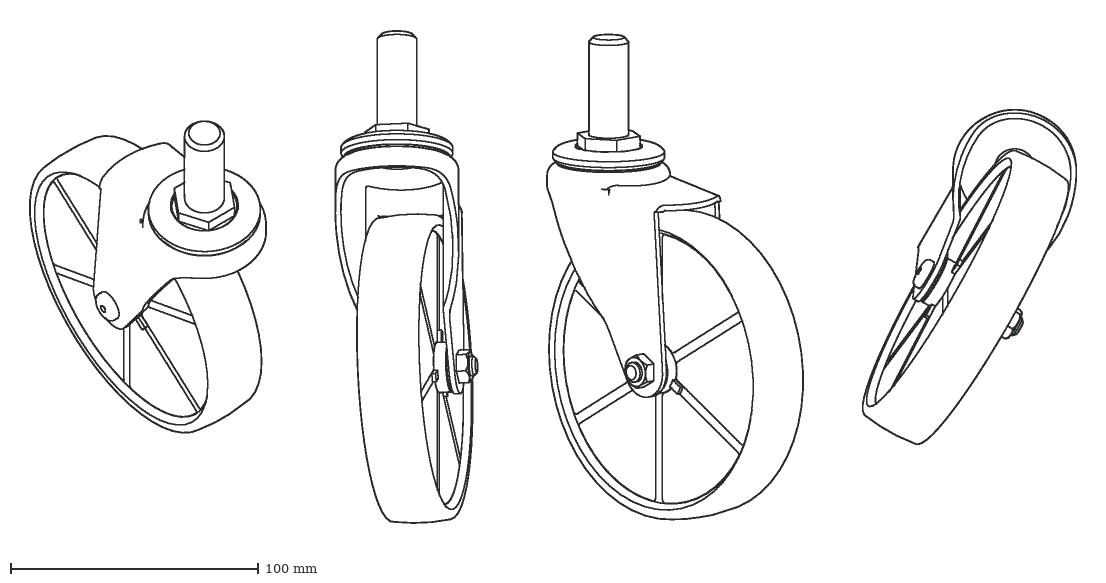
import cadquery as cq
import math


WHEEL_RADIUS = 62.5
WHEEL_WIDTH = 25.0
TREAD_EDGE_RADIUS = 61.6
TREAD_EDGE_FILLET = 1.2
RIM_INNER_RADIUS = 57.6
RIM_FOOT_RADIUS = 55.5
WEB_THICKNESS = 14.2
SPOKE_HEIGHT = 2.5
SPOKE_COUNT = 6
SPOKE_WIDTH = 4.0
POCKET_FLOOR_FILLET = 1.2
POCKET_CORNER = 1.3
POCKET_MARGIN = 0.2
HUB_RADIUS = 10.2
HUB_LENGTH = 30.0
HUB_CHAMFER = 0.4
PAD_OUTER_RADIUS = 15.2
PAD_HEIGHT = 1.5
PAD_WIDTH = 3.5

AXLE_RADIUS = 4.0
HEAD_RADIUS = 6.1
HEAD_HEIGHT = 3.5
HEAD_FILLET = 2.0
DIMPLE_RADIUS = 1.5
DIMPLE_DEPTH = 1.2
NUT_ACROSS_FLATS = 12.0
NUT_HEIGHT = 4.8
NUT_CHAMFER = 1.0
AXLE_END = 25.3
AXLE_TIP_CHAMFER = 1.2

SHEET = 2.3
FORK_HALF_WIDTH = 18.2
FORK_END_RADIUS = 11.0
FRONT_EDGE_LEAN = 4.3
BACK_EDGE_SLOPE = 61
BACK_ARC_RADIUS = 13.5
ROOF_SLOPE = 9
ROOF_FRONT_X = -12.3
ROOF_FRONT_Z = 68.2
ROOF_FRONT_ARC = 34.5
ROOF_FILLET = 3.6
ROOF_BACK_X = 32.6

SWIVEL_X = 39.07
SKIRT_RADIUS = 25.0
SKIRT_BOTTOM = 68.5
SKIRT_TOP = 77.8
SHOULDER_FILLET = 5.0
SKIRT_BLEND = 4.8

CAP_TOP = 84.9
CAP_RADIUS = 22.7
CAP_NECK_RADIUS = 21.0
CAP_BOTTOM = 78.5
CAP_LIP_RADIUS = 21.5
CAP_LOWER_EDGE = 80.0
CAP_UPPER_EDGE = 82.46
CAP_FLAT_RADIUS = 18.2
CAP_HOLE_RADIUS = 13.6

STUD_RADIUS = 8.0
STUD_TOP = 192 - WHEEL_RADIUS
STUD_CHAMFER_HEIGHT = 2.0
STUD_CHAMFER_WIDTH = 1.7
STUD_HEX_FLATS = 22.8
STUD_HEX_TOP = 89.5
COLLAR_RADIUS = 13.15
COLLAR_TOP = 84.3


def hex_prism(plane, across_flats, height):
    """Hexagonal prism with two corners on the vertical axis of the plane."""
    corner_circle = across_flats / math.cos(math.radians(30))
    return cq.Workplane(plane).transformed(rotate=(0, 0, 90)).polygon(6, corner_circle).extrude(height)


def turned_on_y(profile):
    """Revolve an XY profile about the Y axis."""
    return profile.close().revolve(360, (0, 0, 0), (0, 1, 0))


def turned_on_swivel(profile):
    """Revolve a (radius, height) profile about Z and move it to the swivel axis."""
    return profile.close().revolve(360, (0, 0, 0), (0, 1, 0)).translate((SWIVEL_X, 0, 0))


def spoke_pocket():
    """One sunk panel between two spokes, on the +Y side of the wheel."""
    half_pitch = math.radians(180 / SPOKE_COUNT)
    half_spoke = SPOKE_WIDTH / 2
    inner_radius = HUB_RADIUS + POCKET_MARGIN
    outer_radius = RIM_FOOT_RADIUS - POCKET_MARGIN

    def corner(radius, side):
        swing = half_pitch - math.asin(half_spoke / radius)
        return (radius * math.cos(swing), side * radius * math.sin(swing))

    face = cq.Plane(origin=(0, WEB_THICKNESS / 2 + SPOKE_HEIGHT, 0), xDir=(1, 0, 0), normal=(0, -1, 0))
    outline = (
        cq.Workplane(face)
        .moveTo(*corner(inner_radius, -1))
        .lineTo(*corner(outer_radius, -1))
        .threePointArc((outer_radius, 0), corner(outer_radius, 1))
        .lineTo(*corner(inner_radius, 1))
        .threePointArc((inner_radius, 0), corner(inner_radius, -1))
        .close()
    )
    pocket = outline.extrude(SPOKE_HEIGHT).edges("|Y").fillet(POCKET_CORNER)
    return pocket.faces("<Y").edges().fillet(POCKET_FLOOR_FILLET)


def make_wheel():
    half_width = WHEEL_WIDTH / 2
    spoke_level = WEB_THICKNESS / 2 + SPOKE_HEIGHT
    half_hub = HUB_LENGTH / 2
    half_tread = half_width - TREAD_EDGE_FILLET
    side_radius = TREAD_EDGE_RADIUS - TREAD_EDGE_FILLET
    fillet_reach = TREAD_EDGE_FILLET * math.sin(math.radians(45))
    fillet_middle = (side_radius + fillet_reach, half_tread + fillet_reach)
    wheel = turned_on_y(
        cq.Workplane("XY")
        .moveTo(AXLE_RADIUS, -half_hub)
        .lineTo(HUB_RADIUS - HUB_CHAMFER, -half_hub)
        .lineTo(HUB_RADIUS, -half_hub + HUB_CHAMFER)
        .lineTo(HUB_RADIUS, -spoke_level)
        .lineTo(RIM_FOOT_RADIUS, -spoke_level)
        .lineTo(RIM_INNER_RADIUS, -half_width)
        .lineTo(side_radius, -half_width)
        .threePointArc((fillet_middle[0], -fillet_middle[1]), (TREAD_EDGE_RADIUS, -half_tread))
        .threePointArc((WHEEL_RADIUS, 0), (TREAD_EDGE_RADIUS, half_tread))
        .threePointArc(fillet_middle, (side_radius, half_width))
        .lineTo(RIM_INNER_RADIUS, half_width)
        .lineTo(RIM_FOOT_RADIUS, spoke_level)
        .lineTo(HUB_RADIUS, spoke_level)
        .lineTo(HUB_RADIUS, half_hub - HUB_CHAMFER)
        .lineTo(HUB_RADIUS - HUB_CHAMFER, half_hub)
        .lineTo(AXLE_RADIUS, half_hub)
    )

    pocket = spoke_pocket()
    for index in range(SPOKE_COUNT):
        turned = pocket.rotate((0, 0, 0), (0, 1, 0), index * 360 / SPOKE_COUNT)
        wheel = wheel.cut(turned).cut(turned.mirror("XZ"))

    pad_length = PAD_OUTER_RADIUS - AXLE_RADIUS - 2
    pad_depth = 2 * (spoke_level + PAD_HEIGHT)
    pad = cq.Workplane("XY").box(PAD_WIDTH, pad_depth, pad_length, centered=(True, True, False))
    pad = pad.translate((0, 0, AXLE_RADIUS + 2))
    for index in range(SPOKE_COUNT // 2):
        wheel = wheel.union(pad.rotate((0, 0, 0), (0, 1, 0), index * 720 / SPOKE_COUNT))
    return wheel


def make_axle():
    """Bolt with a domed head at -Y and its hexagon nut at +Y."""
    head_top = -FORK_HALF_WIDTH - HEAD_HEIGHT
    fillet_reach = HEAD_FILLET * math.sin(math.radians(45))
    bolt = turned_on_y(
        cq.Workplane("XY")
        .moveTo(0, head_top + DIMPLE_DEPTH)
        .lineTo(DIMPLE_RADIUS, head_top)
        .lineTo(HEAD_RADIUS - HEAD_FILLET, head_top)
        .threePointArc(
            (HEAD_RADIUS - HEAD_FILLET + fillet_reach, head_top + HEAD_FILLET - fillet_reach),
            (HEAD_RADIUS, head_top + HEAD_FILLET),
        )
        .lineTo(HEAD_RADIUS, -FORK_HALF_WIDTH)
        .lineTo(AXLE_RADIUS, -FORK_HALF_WIDTH)
        .lineTo(AXLE_RADIUS, AXLE_END - AXLE_TIP_CHAMFER)
        .lineTo(AXLE_RADIUS - AXLE_TIP_CHAMFER, AXLE_END)
        .lineTo(0, AXLE_END)
    )
    nut_plane = cq.Plane(origin=(0, FORK_HALF_WIDTH, 0), xDir=(-1, 0, 0), normal=(0, 1, 0))
    nut = hex_prism(nut_plane, NUT_ACROSS_FLATS, NUT_HEIGHT)
    corner_radius = NUT_ACROSS_FLATS / 2 / math.cos(math.radians(30))
    turned_nut = cq.Workplane(nut_plane).circle(corner_radius).extrude(NUT_HEIGHT)
    nut = nut.intersect(turned_nut.faces(">Y").chamfer(NUT_CHAMFER))
    return bolt.union(nut)


def roof_height(x):
    return ROOF_FRONT_Z + (x - ROOF_FRONT_X) * math.tan(math.radians(ROOF_SLOPE))


def fork_side_profile():
    """Side outline shared by both cheeks, the roof and the skirt."""
    lean = math.radians(FRONT_EDGE_LEAN)
    slope = math.radians(BACK_EDGE_SLOPE)
    front_start = (-FORK_END_RADIUS * math.cos(lean), FORK_END_RADIUS * math.sin(lean))
    back_start = (FORK_END_RADIUS * math.sin(slope), -FORK_END_RADIUS * math.cos(slope))
    roof_under = roof_height(ROOF_FRONT_X) - SHEET
    front_top_x = front_start[0] + (roof_under - front_start[1]) * math.tan(lean)
    skirt_back = SWIVEL_X + SKIRT_RADIUS

    corner_x = back_start[0] + (SKIRT_BOTTOM - back_start[1]) / math.tan(slope)
    tangent = BACK_ARC_RADIUS * math.tan(slope / 2)
    arc_start = (corner_x - tangent * math.cos(slope), SKIRT_BOTTOM - tangent * math.sin(slope))
    arc_end = (corner_x + tangent, SKIRT_BOTTOM)
    arc_middle = (
        arc_end[0] - BACK_ARC_RADIUS * math.sin(slope / 2),
        SKIRT_BOTTOM - BACK_ARC_RADIUS * (1 - math.cos(slope / 2)),
    )
    return (
        cq.Workplane("XZ")
        .moveTo(*front_start)
        .threePointArc((0, -FORK_END_RADIUS), back_start)
        .lineTo(*arc_start)
        .threePointArc(arc_middle, arc_end)
        .lineTo(skirt_back, SKIRT_BOTTOM)
        .lineTo(skirt_back, SKIRT_TOP)
        .lineTo(ROOF_FRONT_X, SKIRT_TOP)
        .lineTo(ROOF_FRONT_X, roof_under)
        .lineTo(front_top_x, roof_under)
        .close()
        .extrude(SKIRT_RADIUS, both=True)
    )


def channel(half_width, drop, corner_radius):
    """Block under the sloping roof, with its two roof edges rounded."""
    bottom = -2 * FORK_END_RADIUS
    front = 2 * ROOF_FRONT_X
    block = (
        cq.Workplane("XZ")
        .moveTo(front, bottom)
        .lineTo(ROOF_BACK_X, bottom)
        .lineTo(ROOF_BACK_X, roof_height(ROOF_BACK_X) - drop)
        .lineTo(front, roof_height(front) - drop)
        .close()
        .extrude(half_width, both=True)
    )
    roof_edges = block.faces(">Z").edges("<Y or >Y")
    return roof_edges.fillet(corner_radius)


def skirt(radius, top):
    bottom = -2 * FORK_END_RADIUS
    return cq.Workplane("XY", origin=(SWIVEL_X, 0, bottom)).circle(radius).extrude(top - bottom)


def skirt_blend(side):
    """Concave vertical strip that blends a cheek into the skirt."""
    centre_y = FORK_HALF_WIDTH + SKIRT_BLEND
    reach = math.sqrt((SKIRT_RADIUS + SKIRT_BLEND) ** 2 - centre_y ** 2)
    centre_x = SWIVEL_X - reach
    share = SKIRT_RADIUS / (SKIRT_RADIUS + SKIRT_BLEND)
    skirt_contact = (SWIVEL_X - reach * share, centre_y * share)
    half_turn = math.atan2(reach, centre_y) / 2
    middle = (
        centre_x + SKIRT_BLEND * math.sin(half_turn),
        centre_y - SKIRT_BLEND * math.cos(half_turn),
    )
    inside = FORK_HALF_WIDTH - SHEET
    bottom = -2 * FORK_END_RADIUS
    return (
        cq.Workplane("XY", origin=(0, 0, bottom))
        .moveTo(centre_x, side * inside)
        .lineTo(centre_x, side * FORK_HALF_WIDTH)
        .threePointArc((middle[0], side * middle[1]), (skirt_contact[0], side * skirt_contact[1]))
        .lineTo(skirt_contact[0], side * inside)
        .close()
        .extrude(roof_height(centre_x) - ROOF_FILLET / 2 - bottom)
    )


def make_fork():
    outside = skirt(SKIRT_RADIUS, SKIRT_TOP).faces(">Z").edges().fillet(SHOULDER_FILLET)
    outside = outside.union(channel(FORK_HALF_WIDTH, 0, ROOF_FILLET))
    for side in (-1, 1):
        outside = outside.union(skirt_blend(side))
    inside = skirt(SKIRT_RADIUS - SHEET, SKIRT_TOP - SHEET).faces(">Z").edges().fillet(SHOULDER_FILLET - SHEET)
    inside = inside.union(channel(FORK_HALF_WIDTH - SHEET, SHEET, ROOF_FILLET - SHEET))
    fork = outside.cut(inside).intersect(fork_side_profile())

    roof_under = roof_height(ROOF_FRONT_X) - SHEET
    bow_centre_x = ROOF_FRONT_X + ROOF_FRONT_ARC
    roof_zone = cq.Workplane("XY", origin=(0, 0, roof_under))
    beyond_bow = (
        roof_zone.rect(2 * FORK_END_RADIUS + 2 * ROOF_FRONT_ARC, 3 * SKIRT_RADIUS)
        .extrude(SKIRT_TOP)
        .intersect(cq.Workplane("XY").box(2 * ROOF_FRONT_ARC, 3 * SKIRT_RADIUS, 4 * SKIRT_TOP)
                   .translate((-ROOF_FRONT_ARC, 0, 0)))
        .cut(roof_zone.center(bow_centre_x, 0).circle(ROOF_FRONT_ARC).extrude(SKIRT_TOP))
    )
    fork = fork.cut(beyond_bow)

    axle_hole = cq.Workplane("XZ").circle(AXLE_RADIUS).extrude(SKIRT_RADIUS, both=True)
    stud_hole = skirt(STUD_RADIUS, STUD_TOP)
    return fork.cut(axle_hole).cut(stud_hole)


def make_cap():
    """Ring above the skirt, with a groove under its rolled edge."""
    drop = CAP_TOP - CAP_UPPER_EDGE
    width = CAP_RADIUS - CAP_FLAT_RADIUS
    roll_radius = (drop ** 2 + width ** 2) / (2 * drop)
    half_turn = math.asin(width / roll_radius) / 2
    roll_middle = (
        CAP_FLAT_RADIUS + roll_radius * math.sin(half_turn),
        CAP_TOP - roll_radius * (1 - math.cos(half_turn)),
    )
    return turned_on_swivel(
        cq.Workplane("XZ")
        .moveTo(CAP_HOLE_RADIUS, SKIRT_TOP)
        .lineTo(CAP_NECK_RADIUS, SKIRT_TOP)
        .lineTo(CAP_NECK_RADIUS, CAP_BOTTOM)
        .lineTo(CAP_LIP_RADIUS, CAP_BOTTOM)
        .lineTo(CAP_RADIUS, CAP_LOWER_EDGE)
        .lineTo(CAP_RADIUS, CAP_UPPER_EDGE)
        .threePointArc(roll_middle, (CAP_FLAT_RADIUS, CAP_TOP))
        .lineTo(CAP_HOLE_RADIUS, CAP_TOP)
    )


def make_stud():
    """Stud with a hexagon and a round collar that sits inside the cap."""
    turned = turned_on_swivel(
        cq.Workplane("XZ")
        .moveTo(0, SKIRT_TOP - SHEET)
        .lineTo(STUD_RADIUS, SKIRT_TOP - SHEET)
        .lineTo(STUD_RADIUS, SKIRT_TOP)
        .lineTo(COLLAR_RADIUS, SKIRT_TOP)
        .lineTo(COLLAR_RADIUS, COLLAR_TOP)
        .lineTo(STUD_RADIUS, COLLAR_TOP)
        .lineTo(STUD_RADIUS, STUD_TOP - STUD_CHAMFER_HEIGHT)
        .lineTo(STUD_RADIUS - STUD_CHAMFER_WIDTH, STUD_TOP)
        .lineTo(0, STUD_TOP)
    )
    hex_plane = cq.Plane(origin=(SWIVEL_X, 0, COLLAR_TOP))
    return turned.union(hex_prism(hex_plane, STUD_HEX_FLATS, STUD_HEX_TOP - COLLAR_TOP))


wheel = make_wheel()
axle = make_axle()
fork = make_fork()
cap = make_cap()
stud = make_stud()
result = cq.Compound.makeCompound([wheel.val(), axle.val(), fork.val(), cap.val(), stud.val()])